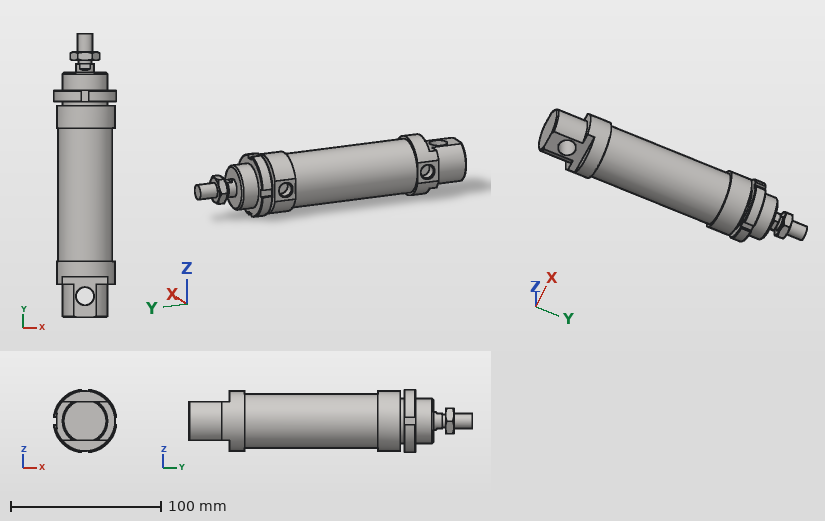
import cadquery as cq
import math

rod_tip_y = 189.0
rod_nut_front_y = 176.7
rod_nut_back_y = 171.0
rod_collar_y = 168.8
rod_flat_back_y = 165.5
nose_front_y = 163.1
ring_front_y = 151.2
ring_back_y = 143.5
head_front_y = 141.0
head_back_y = 126.0
cap_front_y = 37.5
cheek_y = 27.2
cap_back_y = 22.1

thread_dia = 10.0
neck_dia = 8.9
rod_dia = 12.1
wrench_width = 10.0

hex_sides = 6
hex_width = 17.0
hex_face_dia = 16.6
hex_chamfer_angle = 30.0

ring_dia = 42.1
ring_chamfer = 0.5
ring_slot_width = 5.1
ring_slot_depth = 2.3
ring_slot_count = 4

nose_dia = 30.0
nose_chamfer = 1.1
tube_dia = 36.3
cap_dia = 40.0
port_flat_x = -18.7
port_dia = 9.0
port_mouth_dia = 10.2
port_mouth_depth = 1.1
port_depth = 7.5
port_inset = 8.0
clevis_width = 25.9
clevis_chamfer = 1.0
clevis_hole_dia = 12.0
clevis_hole_y = 14.2


def cylinder(diameter, y_from, y_to):
    """Solid cylinder on the Y axis between two stations."""
    return (
        cq.Workplane("XZ", origin=(0, y_to, 0))
        .circle(diameter / 2)
        .extrude(y_to - y_from)
    )


def box(x_from, x_to, y_from, y_to, z_from, z_to):
    """Box given by its limits along each axis."""
    return cq.Workplane(
        cq.Solid.makeBox(x_to - x_from, y_to - y_from, z_to - z_from, cq.Vector(x_from, y_from, z_from))
    )


def make_rod():
    """Piston rod with an undercut behind the thread and two wrench flats."""
    rod = (
        cylinder(thread_dia, rod_nut_back_y, rod_tip_y)
        .union(cylinder(neck_dia, rod_collar_y, rod_nut_back_y))
        .union(cylinder(rod_dia, nose_front_y, rod_collar_y))
    )
    flat_z = wrench_width / 2
    rod_radius = rod_dia / 2
    runout = rod_radius - flat_z
    flat_cut = (
        cq.Workplane("YZ")
        .polyline([
            (rod_collar_y, flat_z),
            (rod_flat_back_y, flat_z),
            (rod_flat_back_y - runout, rod_radius),
            (rod_collar_y, rod_radius),
        ])
        .close()
        .extrude(rod_radius, both=True)
    )
    return rod.cut(flat_cut).cut(flat_cut.mirror("XY"))


def make_rod_nut():
    """Hexagonal nut with corners on the X axis and both ends chamfered."""
    corner_dia = hex_width / math.cos(math.pi / hex_sides)
    corner_radius = corner_dia / 2
    face_radius = hex_face_dia / 2
    drop = (corner_radius - face_radius) * math.tan(math.radians(hex_chamfer_angle))
    hexagon = (
        cq.Workplane("XZ", origin=(0, rod_nut_front_y, 0))
        .polygon(hex_sides, corner_dia)
        .extrude(rod_nut_front_y - rod_nut_back_y)
    )
    chamfered_blank = (
        cq.Workplane("XY")
        .polyline([
            (0, rod_nut_back_y),
            (face_radius, rod_nut_back_y),
            (corner_radius, rod_nut_back_y + drop),
            (corner_radius, rod_nut_front_y - drop),
            (face_radius, rod_nut_front_y),
            (0, rod_nut_front_y),
        ])
        .close()
        .revolve(360, (0, 0, 0), (0, 1, 0))
    )
    bore = cylinder(thread_dia, rod_nut_back_y, rod_nut_front_y)
    return hexagon.intersect(chamfered_blank).cut(bore)


def make_ring_nut():
    """Round nut on the nose with wrench slots around its rim."""
    ring = cylinder(ring_dia, ring_back_y, ring_front_y).edges().chamfer(ring_chamfer)
    ring = ring.cut(cylinder(nose_dia, ring_back_y, ring_front_y))
    half_slot = ring_slot_width / 2
    outer = ring_dia / 2
    slot = box(-half_slot, half_slot, ring_back_y, ring_front_y, outer - ring_slot_depth, outer)
    for index in range(ring_slot_count):
        angle = index * 360 / ring_slot_count
        ring = ring.cut(slot.rotate((0, 0, 0), (0, 1, 0), angle))
    return ring


def make_port_cut(port_y):
    """Blind round port entering from the flat on the -X side, with a tapered mouth."""
    port_radius = port_dia / 2
    mouth_radius = port_mouth_dia / 2
    return (
        cq.Workplane("XY", origin=(port_flat_x, port_y, 0))
        .polyline([
            (0, 0),
            (0, mouth_radius),
            (port_mouth_depth, port_radius),
            (port_depth, port_radius),
            (port_depth, 0),
        ])
        .close()
        .revolve(360, (0, 0, 0), (1, 0, 0))
    )


def make_end_block(y_from, y_to):
    """Round end block of the body with a flat on its -X side."""
    radius = cap_dia / 2
    waste = box(-radius, port_flat_x, y_from, y_to, -radius, radius)
    return cylinder(cap_dia, y_from, y_to).cut(waste)


def make_cylinder_body():
    """Tube with its head, threaded nose, rear cap and clevis as one solid."""
    nose = cylinder(nose_dia, head_front_y, nose_front_y).faces(">Y").chamfer(nose_chamfer)
    clevis = cylinder(nose_dia, 0, cap_back_y).faces("<Y").chamfer(clevis_chamfer)
    body = (
        cylinder(tube_dia, cap_front_y, head_back_y)
        .union(make_end_block(head_back_y, head_front_y))
        .union(make_end_block(cap_back_y, cap_front_y))
        .union(nose)
        .union(clevis)
    )
    radius = cap_dia / 2
    flat_cut = box(-radius, radius, 0, cheek_y, clevis_width / 2, radius)
    body = body.cut(flat_cut).cut(flat_cut.mirror("XY"))
    pivot_hole = (
        cq.Workplane("XY", origin=(0, clevis_hole_y, 0))
        .circle(clevis_hole_dia / 2)
        .extrude(clevis_width / 2, both=True)
    )
    body = body.cut(pivot_hole)
    for port_y in (head_front_y - port_inset, cap_back_y + port_inset):
        body = body.cut(make_port_cut(port_y))
    return body


rod = make_rod()
rod_nut = make_rod_nut()
ring_nut = make_ring_nut()
cylinder_body = make_cylinder_body()

result = cq.Compound.makeCompound([
    cylinder_body.val(),
    ring_nut.val(),
    rod.val(),
    rod_nut.val(),
])